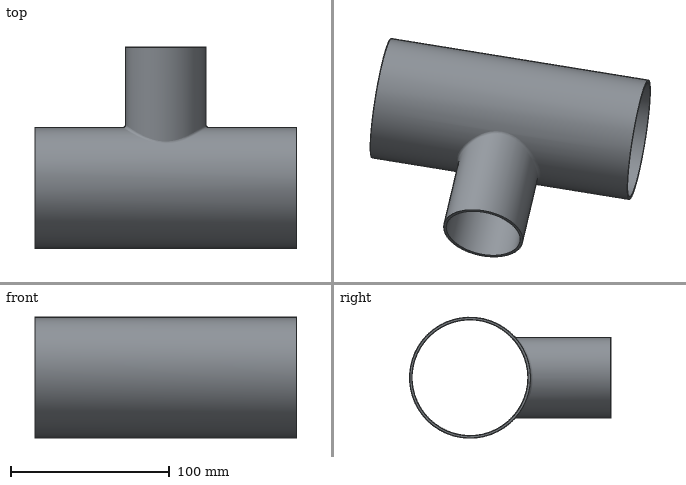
import cadquery as cq

main_length = 165.1
main_outer_diameter = 76.3
wall = 1.7

branch_outer_diameter = 50.9
total_depth = 127.0
branch_reach = total_depth - main_outer_diameter / 2

junction_fillet = 1.7


def main_cylinder(diameter):
    """Cylinder along X, centred on the origin."""
    return cq.Workplane("YZ").circle(diameter / 2).extrude(main_length / 2, both=True)


def branch_cylinder(diameter):
    """Cylinder along +Y, from the main axis to the branch end."""
    return cq.Workplane("XZ").circle(diameter / 2).extrude(-branch_reach)


main_outer = main_cylinder(main_outer_diameter)
outer = main_outer.union(branch_cylinder(branch_outer_diameter))
half_seam = branch_outer_diameter / 2 + wall
seam = cq.selectors.BoxSelector(
    (-half_seam, 0, -half_seam),
    (half_seam, main_outer_diameter / 2 + wall, half_seam),
    boundingbox=True,
)
outer = outer.edges(seam).fillet(junction_fillet)

main_bore = main_cylinder(main_outer_diameter - 2 * wall)
branch_bore = branch_cylinder(branch_outer_diameter - 2 * wall)

result = outer.cut(main_bore).cut(branch_bore)